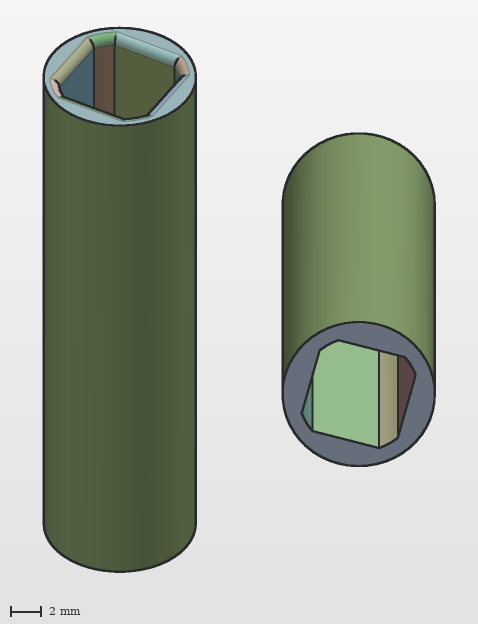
import cadquery as cq

length = 38.1
outer_diameter = 10.0
bore_across_flats = 6.5
bore_across_corners = 7.92
mouth_radius = 0.6


def make_sleeve():
    """Plain round sleeve blank standing on the XY plane."""
    return cq.Workplane("XY").circle(outer_diameter / 2).extrude(length)


def make_bore():
    """Square through bore whose corners are cut back to a concentric cylinder."""
    square = cq.Workplane("XY").rect(bore_across_flats, bore_across_flats).extrude(length)
    corner_limit = cq.Workplane("XY").circle(bore_across_corners / 2).extrude(length)
    return square.intersect(corner_limit)


def round_bore_mouth(body):
    """Round the rim where the bore opens into the top face."""
    bore_rim = body.faces(">Z").val().innerWires()[0].Edges()
    return body.newObject(bore_rim).fillet(mouth_radius)


sleeve = make_sleeve().cut(make_bore())
result = round_bore_mouth(sleeve)